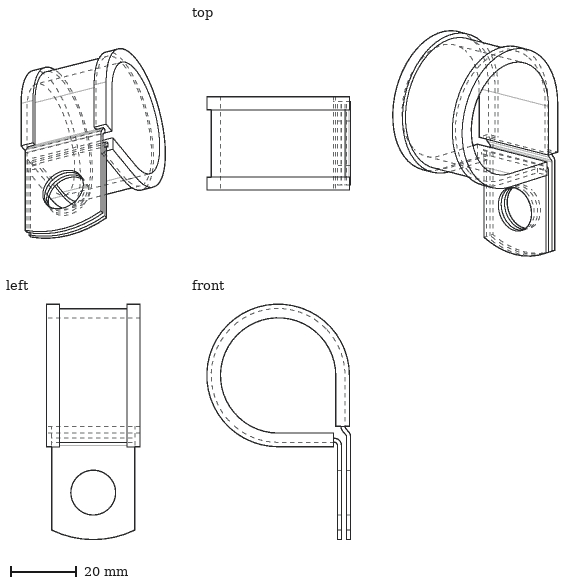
import cadquery as cq
import math

total_height = 71.7
loop_outer_radius = 21.7
loop_inner_radius = 17.5
loop_width = 28.5
lip_width = 4.0
upright_leg_end_z = -15.5
level_leg_end_x = 16.85

strap_outer_radius = 20.4
strap_thickness = 1.3
strap_width = 25.4
inner_tab_face_x = 19.3
outer_tab_face_x = 22.1
inner_tab_bend_radius = 2.2
jog_start_z = -15.85
jog_angle = 40.0
jog_inside_radius = 0.9

tab_bottom_z = loop_outer_radius - total_height
tab_end_rise = 2.95
hole_diameter = 13.55
hole_z = -35.65

strap_inner_radius = strap_outer_radius - strap_thickness


def extrude_across(outline, width):
    """Extrude an XZ outline by the given width, centred on Y = 0."""
    return outline.extrude(width / 2, both=True)


def loop_section(outer_radius, inner_radius, width):
    """Three-quarter ring with a straight leg at each end."""
    outline = (
        cq.Workplane("XZ")
        .moveTo(outer_radius, upright_leg_end_z)
        .lineTo(outer_radius, 0)
        .threePointArc(arc_middle(outer_radius), (0, -outer_radius))
        .lineTo(level_leg_end_x, -outer_radius)
        .lineTo(level_leg_end_x, -inner_radius)
        .lineTo(0, -inner_radius)
        .threePointArc(arc_middle(inner_radius), (inner_radius, 0))
        .lineTo(inner_radius, upright_leg_end_z)
        .close()
    )
    return extrude_across(outline, width)


def arc_middle(radius):
    """Middle point of the three-quarter arc."""
    offset = radius * math.sqrt(0.5)
    return (-offset, offset)


def make_loop():
    """Cushion ring with a wide groove between two outer lips."""
    groove_width = loop_width - 2 * lip_width
    core = loop_section(strap_outer_radius, loop_inner_radius, groove_width)
    lip = loop_section(loop_outer_radius, loop_inner_radius, lip_width)
    lip_offset = (loop_width - lip_width) / 2
    for side in (-1, 1):
        core = core.union(lip.translate((0, side * lip_offset, 0)))
    return core


def make_inner_tab():
    """Strap end leaving the level leg and bending straight down."""
    back_x = inner_tab_face_x - strap_thickness
    inside_radius = inner_tab_bend_radius - strap_thickness
    bend_start_x = inner_tab_face_x - inner_tab_bend_radius
    bend_end_z = -strap_inner_radius - inner_tab_bend_radius
    embedded_x = level_leg_end_x - strap_thickness
    outline = (
        cq.Workplane("XZ")
        .moveTo(embedded_x, -strap_inner_radius)
        .lineTo(bend_start_x, -strap_inner_radius)
        .radiusArc((inner_tab_face_x, bend_end_z), inner_tab_bend_radius)
        .lineTo(inner_tab_face_x, tab_bottom_z)
        .lineTo(back_x, tab_bottom_z)
        .lineTo(back_x, bend_end_z)
        .radiusArc((bend_start_x, -strap_outer_radius), -inside_radius)
        .lineTo(embedded_x, -strap_outer_radius)
        .close()
    )
    return extrude_across(outline, strap_width)


def make_outer_tab():
    """Strap end leaving the upright leg with an outward jog."""
    back_x = outer_tab_face_x - strap_thickness
    jog_drop = (outer_tab_face_x - strap_outer_radius) / math.tan(math.radians(jog_angle))
    jog_end_z = jog_start_z - jog_drop
    back_shift = strap_thickness * math.tan(math.radians(jog_angle / 2))
    embedded_z = upright_leg_end_z + strap_thickness
    outline = (
        cq.Workplane("XZ")
        .moveTo(strap_outer_radius, embedded_z)
        .lineTo(strap_outer_radius, jog_start_z)
        .lineTo(outer_tab_face_x, jog_end_z)
        .lineTo(outer_tab_face_x, tab_bottom_z)
        .lineTo(back_x, tab_bottom_z)
        .lineTo(back_x, jog_end_z - back_shift)
        .lineTo(strap_inner_radius, jog_start_z - back_shift)
        .lineTo(strap_inner_radius, embedded_z)
        .close()
    )
    tab = extrude_across(outline, strap_width)
    jog_outside_radius = jog_inside_radius + strap_thickness
    bends = (
        (strap_outer_radius, jog_start_z, jog_inside_radius),
        (outer_tab_face_x, jog_end_z, jog_outside_radius),
        (back_x, jog_end_z - back_shift, jog_inside_radius),
        (strap_inner_radius, jog_start_z - back_shift, jog_outside_radius),
    )
    for x, z, radius in bends:
        tab = tab.edges(cq.selectors.NearestToPointSelector((x, 0, z))).fillet(radius)
    return tab


def make_tab_trim():
    """Tab silhouette with a curved lower end and a round bolt hole."""
    half_width = strap_width / 2
    corner_z = tab_bottom_z + tab_end_rise
    blank = (
        cq.Workplane("YZ")
        .moveTo(-half_width, 0)
        .lineTo(-half_width, corner_z)
        .threePointArc((0, tab_bottom_z), (half_width, corner_z))
        .lineTo(half_width, 0)
        .close()
        .extrude(outer_tab_face_x)
    )
    hole = cq.Workplane("YZ").center(0, hole_z).circle(hole_diameter / 2).extrude(outer_tab_face_x)
    return blank.cut(hole)


tabs = make_inner_tab().union(make_outer_tab()).intersect(make_tab_trim())
result = make_loop().union(tabs)